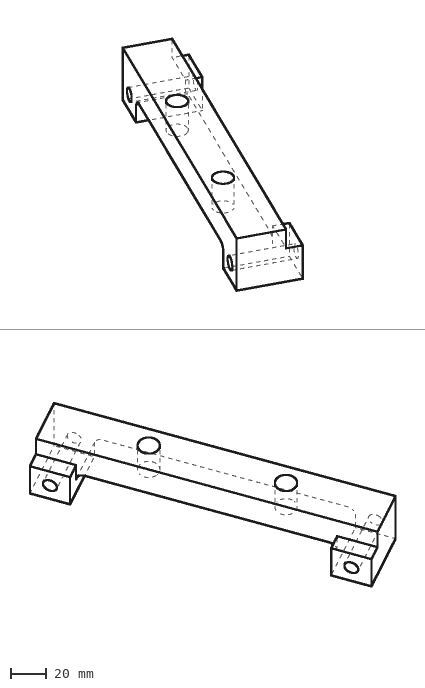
import cadquery as cq

length = 204.0
depth = 39.0
height = 35.0

beam_depth = 29.2
leg_width = 24.0
leg_drop = 15.5
corner_radius = 4.9

lug_depth = depth - beam_depth
lug_height = 22.5

leg_hole_diameter = 8.4
leg_hole_x = length / 2 - leg_width / 2
leg_hole_height = 11.0
beam_hole_diameter = 12.5
beam_hole_spacing = 82.0
beam_hole_y = 12.0


def make_bridge():
    """Straight beam with a rounded-corner relief between the two legs."""
    blank = cq.Workplane("XY").box(length, beam_depth, height, centered=(True, False, False))
    relief = (
        cq.Workplane("XY")
        .box(length - 2 * leg_width, beam_depth, leg_drop, centered=(True, False, False))
        .edges("|Y and >Z")
        .fillet(corner_radius)
    )
    return blank.cut(relief)


def make_lug(side):
    """Rectangular step on the back of one leg; side is -1 or 1."""
    return (
        cq.Workplane("XY")
        .box(leg_width, lug_depth, lug_height, centered=(True, False, False))
        .translate((side * (length - leg_width) / 2, beam_depth, 0))
    )


def make_leg_hole(side):
    """Hole running front to back through a leg and its lug."""
    return (
        cq.Workplane("XZ")
        .center(side * leg_hole_x, leg_hole_height)
        .circle(leg_hole_diameter / 2)
        .extrude(-depth)
    )


def make_beam_hole(side):
    """Vertical through hole in the beam."""
    return (
        cq.Workplane("XY")
        .center(side * beam_hole_spacing / 2, beam_hole_y)
        .circle(beam_hole_diameter / 2)
        .extrude(height)
    )


result = make_bridge()
for side in (-1, 1):
    result = result.union(make_lug(side))
    result = result.cut(make_leg_hole(side))
    result = result.cut(make_beam_hole(side))